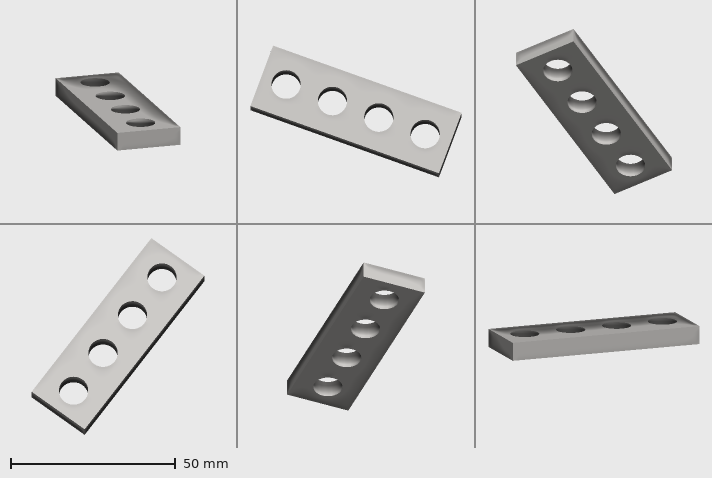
import cadquery as cq

length = 60.96
width = 20.07
thickness = 5.6

hole_diameter = 8.89
hole_count = 4
hole_pitch = 14.986
first_hole_from_end = 7.874


def make_plate():
    """Flat bar centred on the origin."""
    return cq.Workplane("XY").box(length, width, thickness)


def drill_holes(plate):
    """Drill the evenly spaced row on the plate's centreline."""
    first_hole_x = first_hole_from_end - length / 2
    hole_centres = [(first_hole_x + i * hole_pitch, 0) for i in range(hole_count)]
    return plate.faces(">Z").workplane().pushPoints(hole_centres).hole(hole_diameter)


result = drill_holes(make_plate())